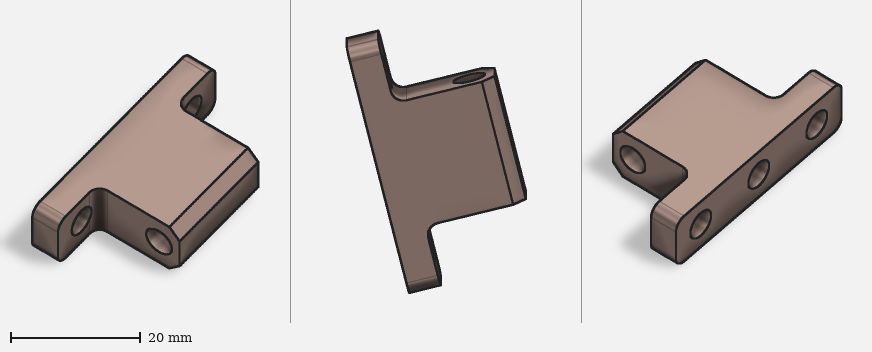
import cadquery as cq
import math

plate_length = 40.0
height = 10.0
total_depth = 21.0

plate_thickness = 5.0
edge_size = 2.0

tongue_width = plate_length / 2

hole_diameter = 5.0
mount_hole_inset = 6.0
mount_hole_spacing = plate_length - 2 * mount_hole_inset
pin_hole_inset = 4.0
pin_hole_x = total_depth - pin_hole_inset
blind_depth = 10.0
drill_tip_angle = 118.0


def make_plate():
    """Plate across Y with its four corners rounded about X."""
    plate = cq.Workplane("XY").box(
        plate_thickness, plate_length, height, centered=(False, True, True)
    )
    return plate.edges("|X").fillet(edge_size)


def make_tongue():
    """Block along X with its upper and lower end edges chamfered."""
    tongue = cq.Workplane("XY").box(
        total_depth, tongue_width, height, centered=(False, True, True)
    )
    return tongue.faces(">X").edges("|Y").chamfer(edge_size)


def fillet_roots(body):
    """Round the two inside corners where the tongue meets the plate."""
    for side in (-1, 1):
        corner = (plate_thickness, side * tongue_width / 2, 0)
        body = body.edges(cq.selectors.NearestToPointSelector(corner)).fillet(edge_size)
    return body


def make_mount_holes():
    """Two through holes along X near the plate ends, also clearing the root fillets."""
    return (
        cq.Workplane("YZ")
        .pushPoints([(-mount_hole_spacing / 2, 0), (mount_hole_spacing / 2, 0)])
        .circle(hole_diameter / 2)
        .extrude(plate_thickness + edge_size)
    )


def make_blind_hole():
    """Central drilled hole along X with a conical bottom."""
    radius = hole_diameter / 2
    tip_length = radius / math.tan(math.radians(drill_tip_angle / 2))
    return (
        cq.Workplane("XY")
        .polyline([(0, 0), (0, radius), (blind_depth, radius), (blind_depth + tip_length, 0)])
        .close()
        .revolve(360, (0, 0, 0), (1, 0, 0))
    )


def make_pin_hole():
    """Cross hole along Y through the tongue."""
    return (
        cq.Workplane("XZ")
        .center(pin_hole_x, 0)
        .circle(hole_diameter / 2)
        .extrude(tongue_width / 2, both=True)
    )


body = fillet_roots(make_plate().union(make_tongue()))
result = body.cut(make_mount_holes()).cut(make_blind_hole()).cut(make_pin_hole())